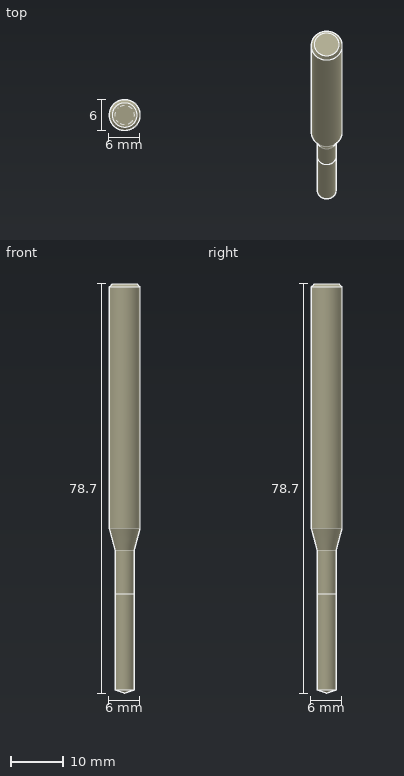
import cadquery as cq

TOTAL_LENGTH = 78.7
SHANK_DIAMETER = 6.0
SHANK_LENGTH = 47.0
SHANK_CHAMFER = 0.6
CUTTER_DIAMETER = 3.7
CUTTER_LENGTH = 19.0
TIP_HEIGHT = 0.6
TAPER_LENGTH = 4.25

shank_radius = SHANK_DIAMETER / 2
cutter_radius = CUTTER_DIAMETER / 2
shank_bottom = TOTAL_LENGTH - SHANK_LENGTH
taper_bottom = shank_bottom - TAPER_LENGTH


def revolve_profile(points):
    """Revolve a closed (radius, height) outline about the Z axis."""
    return cq.Workplane("XZ").polyline(points).close().revolve(360, (0, 0), (0, 1))


def make_cutter():
    """Cylindrical cutting end with a shallow conical point."""
    return revolve_profile([
        (0, 0),
        (cutter_radius, TIP_HEIGHT),
        (cutter_radius, CUTTER_LENGTH),
        (0, CUTTER_LENGTH),
    ])


def make_shank():
    """Neck, taper and chamfered clamping shank, resting on the cutter."""
    return revolve_profile([
        (0, CUTTER_LENGTH),
        (cutter_radius, CUTTER_LENGTH),
        (cutter_radius, taper_bottom),
        (shank_radius, shank_bottom),
        (shank_radius, TOTAL_LENGTH - SHANK_CHAMFER),
        (shank_radius - SHANK_CHAMFER, TOTAL_LENGTH),
        (0, TOTAL_LENGTH),
    ])


cutter = make_cutter()
shank = make_shank()
result = cq.Compound.makeCompound([cutter.val(), shank.val()])